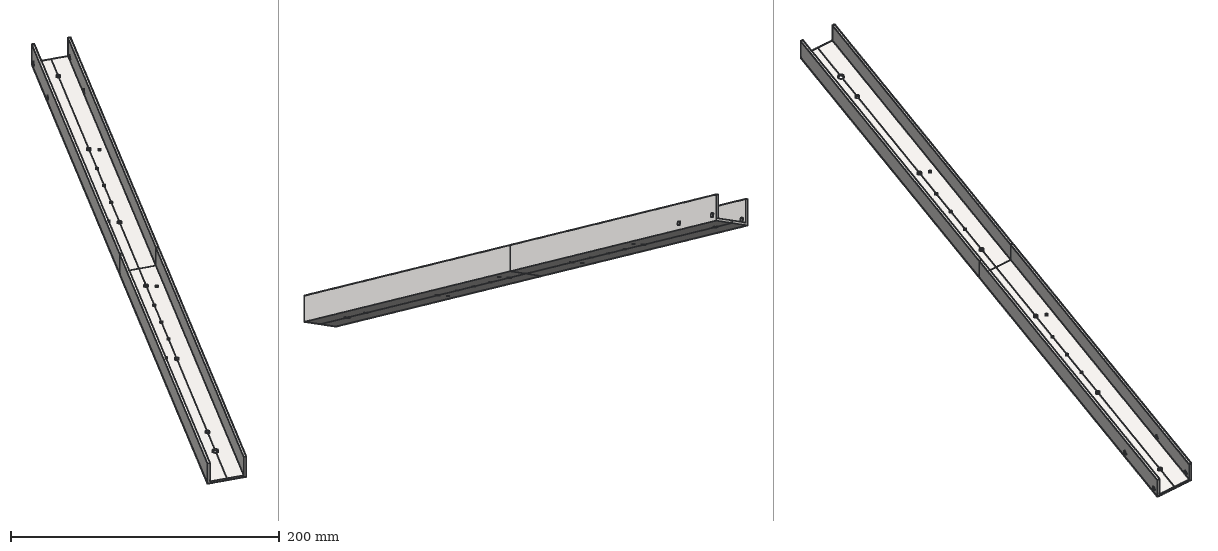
import cadquery as cq

length = 495.0
width = 30.0
height = 20.0
wall = 2.0
floor = 2.0
half_length = length / 2
half_width = width / 2

side_hole_diameter = 3.2
side_hole_end_offset = 5.0
side_hole_spacing = 40.0
side_hole_height = 5.0
first_side_hole_x = -half_length + side_hole_end_offset

screw_hole_diameter = 3.2
screw_hole_spacing = 86.25
screw_row_gap = 75.0
first_screw_end_offset = 20.0
screws_per_row = 3
first_row_x = -half_length + first_screw_end_offset
second_row_x = first_row_x + (screws_per_row - 1) * screw_hole_spacing + screw_row_gap
screw_row_starts = [first_row_x, second_row_x]

pattern_shift = -0.25
pattern_centres = [
    first_row_x + 1.5 * screw_hole_spacing + pattern_shift,
    second_row_x + 0.5 * screw_hole_spacing + pattern_shift,
]
pin_hole_diameter = 2.0
pin_hole_spacing = 20.0
corner_hole_diameter = 2.0
corner_hole_reach = 40.25
corner_hole_side = 7.5

cable_hole_diameter = 4.5
cable_hole_end_offset = 32.5
cable_hole_x = half_length - cable_hole_end_offset


def floor_holes(points, diameter):
    """Vertical cutters that pass through the floor at the given points."""
    return cq.Workplane("XY").pushPoints(points).circle(diameter / 2).extrude(floor)


def side_holes():
    """Cutters along Y that pass through both side walls."""
    points = [(first_side_hole_x + step * side_hole_spacing, side_hole_height) for step in (0, 1)]
    return (
        cq.Workplane("XZ", origin=(0, half_width, 0))
        .pushPoints(points)
        .circle(side_hole_diameter / 2)
        .extrude(width)
    )


def screw_holes():
    """Both rows of screw holes, centred on the floor seam."""
    points = [
        (start_x + step * screw_hole_spacing, 0)
        for start_x in screw_row_starts
        for step in range(screws_per_row)
    ]
    return floor_holes(points, screw_hole_diameter)


def pin_holes():
    """Three small holes on the floor seam in each pattern."""
    points = [
        (centre_x + step * pin_hole_spacing, 0)
        for centre_x in pattern_centres
        for step in (-1, 0, 1)
    ]
    return floor_holes(points, pin_hole_diameter)


def corner_holes():
    """Two small holes at diagonally opposite corners of each pattern."""
    points = [
        (centre_x + side * corner_hole_reach, -side * corner_hole_side)
        for centre_x in pattern_centres
        for side in (-1, 1)
    ]
    return floor_holes(points, corner_hole_diameter)


def cable_hole():
    """The larger hole near the +X end."""
    return floor_holes([(cable_hole_x, 0)], cable_hole_diameter)


hole_cutters = [side_holes(), screw_holes(), pin_holes(), corner_holes(), cable_hole()]


def quarter(start_x, side):
    """One L-shaped quarter starting at start_x, on the -Y (side = -1) or +Y (side = 1) half."""
    outer_y = side * half_width
    inner_y = side * (half_width - wall)
    outline = [
        (0, 0),
        (outer_y, 0),
        (outer_y, height),
        (inner_y, height),
        (inner_y, floor),
        (0, floor),
    ]
    body = cq.Workplane("YZ", origin=(start_x, 0, 0)).polyline(outline).close().extrude(half_length)
    for cutter in hole_cutters:
        body = body.cut(cutter)
    return body


quarters = [quarter(start_x, side) for start_x in (-half_length, 0) for side in (-1, 1)]

result = cq.Compound.makeCompound([body.solids().val() for body in quarters])